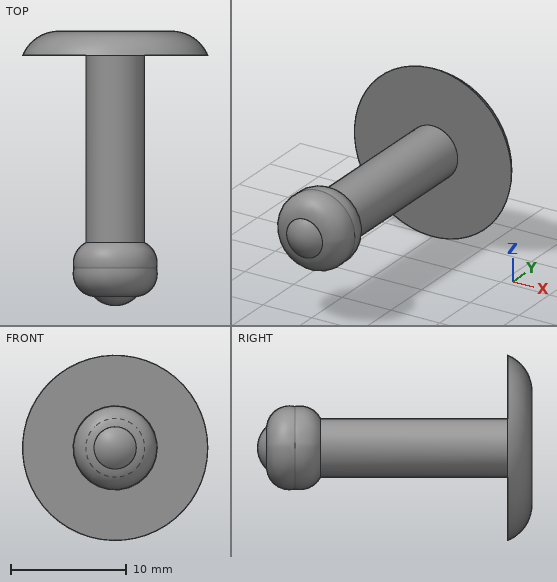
import cadquery as cq
import math

total_length = 23.88
head_diameter = 16.12
head_thickness = 2.13
head_flat_radius = 4.9
shank_radius = 2.55
shank_length = 16.26
bulb_equator_radius = 3.6
bulb_arc_radius = 2.0
bulb_back_length = 2.22
tip_base_radius = 1.85
tip_height = 0.79

bulb_back_y = -shank_length
bulb_equator_y = bulb_back_y - bulb_back_length
tip_end_y = head_thickness - total_length
tip_base_y = tip_end_y + tip_height


def arc_middle(tangent_point, end_point, toward_center):
    """Midpoint of the arc to end_point whose center lies in the unit
    direction toward_center from tangent_point."""
    chord_x = end_point[0] - tangent_point[0]
    chord_y = end_point[1] - tangent_point[1]
    depth = chord_x * toward_center[0] + chord_y * toward_center[1]
    radius = (chord_x**2 + chord_y**2) / (2 * depth)
    center_x = tangent_point[0] + radius * toward_center[0]
    center_y = tangent_point[1] + radius * toward_center[1]
    bisector_x = (tangent_point[0] + end_point[0]) / 2 - center_x
    bisector_y = (tangent_point[1] + end_point[1]) / 2 - center_y
    stretch = radius / math.hypot(bisector_x, bisector_y)
    return (center_x + bisector_x * stretch, center_y + bisector_y * stretch)


head_flat_edge = (head_flat_radius, head_thickness)
head_rim = (head_diameter / 2, 0)
bulb_back = (shank_radius, bulb_back_y)
bulb_equator = (bulb_equator_radius, bulb_equator_y)
tip_base = (tip_base_radius, tip_base_y)
tip_end = (0, tip_end_y)

frontward = (0, -1)
backward = (0, 1)

profile = (
    cq.Workplane("XY")
    .moveTo(0, head_thickness)
    .lineTo(*head_flat_edge)
    .threePointArc(arc_middle(head_flat_edge, head_rim, frontward), head_rim)
    .lineTo(shank_radius, 0)
    .lineTo(*bulb_back)
    .radiusArc(bulb_equator, bulb_arc_radius)
    .radiusArc(tip_base, bulb_arc_radius)
    .threePointArc(arc_middle(tip_end, tip_base, backward), tip_end)
    .close()
)

result = profile.revolve(360, (0, 0, 0), (0, 1, 0))